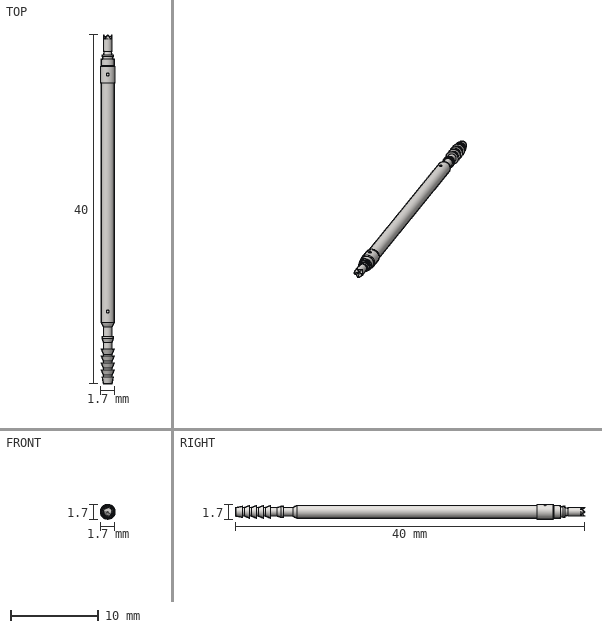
import cadquery as cq
import math


total_length = 40.0
tip_y = total_length / 2
tail_y = -total_length / 2

crown_radius = 0.5
crown_length = 1.9
groove_count = 2
first_groove_angle = 45
groove_depth = 0.5
groove_half_width = crown_radius / math.sqrt(2)

neck_start_radius = 0.42
neck_end_radius = 0.5
bead_radius = 0.65
bead_start = 2.3
bead_end = 2.5
head_neck_radius = 0.6
head_start = 2.8
head_end = 3.53
collar_start = 3.65
collar_end = 5.5
collar_radius = 0.85

barrel_radius = 0.75
barrel_end_from_tail = 7.05

pin_radius = 0.5
shoulder_radius = 0.65
shoulder_base = 6.8
shoulder_end = 6.55
ring_radius = 0.65
ring_top = 5.45
ring_bottom = 5.2
ring_taper_end = 4.75

barb_radius = barrel_radius
barb_length = 0.6
barb_pitch = 0.8
barb_count = 4
first_barb = 1.6
end_barb_radius = 0.65
end_barb_height = 0.8

dimple_diameter = 0.35
dimple_depth = 0.15
collar_dimple_from_tip = 4.55
barrel_dimple_from_tail = 8.3
collar_dimple_y = tip_y - collar_dimple_from_tip
barrel_dimple_y = tail_y + barrel_dimple_from_tail


def revolve_profile(points):
    """Turn (radius, y) points, joined to the axis at both ends, about the Y axis."""
    outline = [(0, points[0][1])] + points + [(0, points[-1][1])]
    return cq.Workplane("XY").polyline(outline).close().revolve(360, (0, 0, 0), (0, 1, 0))


def make_body():
    """Crown plunger, head, collar, barrel and plain tail pin in one turned piece."""
    return revolve_profile([
        (crown_radius, tip_y),
        (crown_radius, tip_y - crown_length),
        (neck_start_radius, tip_y - crown_length),
        (neck_end_radius, tip_y - bead_start),
        (bead_radius, tip_y - bead_start),
        (bead_radius, tip_y - bead_end),
        (head_neck_radius, tip_y - bead_end),
        (head_neck_radius, tip_y - head_start),
        (barrel_radius, tip_y - head_start),
        (barrel_radius, tip_y - head_end),
        (collar_radius, tip_y - collar_start),
        (collar_radius, tip_y - collar_end),
        (barrel_radius, tip_y - collar_end),
        (barrel_radius, tail_y + barrel_end_from_tail),
        (shoulder_radius, tail_y + shoulder_base),
        (pin_radius, tail_y + shoulder_end),
        (pin_radius, tail_y + ring_top),
        (ring_radius, tail_y + ring_top),
        (ring_radius, tail_y + ring_bottom),
        (pin_radius, tail_y + ring_taper_end),
        (pin_radius, tail_y),
    ])


def make_barb(top_y, radius, length):
    """Cone with its wide flat face at top_y, narrowing to the pin toward the tail."""
    return revolve_profile([(radius, top_y), (pin_radius, top_y - length)])


def crown_groove(angle):
    """V groove across the tip, its line turned by angle about the Y axis."""
    groove = (
        cq.Workplane("XY")
        .polyline([
            (0, tip_y - groove_depth),
            (2 * groove_half_width, tip_y + groove_depth),
            (-2 * groove_half_width, tip_y + groove_depth),
        ])
        .close()
        .extrude(2 * crown_radius, both=True)
    )
    return groove.rotate((0, 0, 0), (0, 1, 0), angle)


def dimple(y, surface_radius):
    """Drill-point pocket in the top of a cylinder of the given radius."""
    apex_z = surface_radius - dimple_depth
    cone = cq.Solid.makeCone(
        0, dimple_diameter, 2 * dimple_depth, pnt=cq.Vector(0, y, apex_z), dir=cq.Vector(0, 0, 1)
    )
    return cq.Workplane(obj=cone)


result = make_body()

for index in range(barb_count):
    barb_y = tail_y + first_barb + index * barb_pitch
    result = result.union(make_barb(barb_y, barb_radius, barb_length))
result = result.union(make_barb(tail_y + end_barb_height, end_barb_radius, end_barb_height))

for index in range(groove_count):
    result = result.cut(crown_groove(first_groove_angle + index * 180 / groove_count))

result = result.cut(dimple(collar_dimple_y, collar_radius))
result = result.cut(dimple(barrel_dimple_y, barrel_radius))